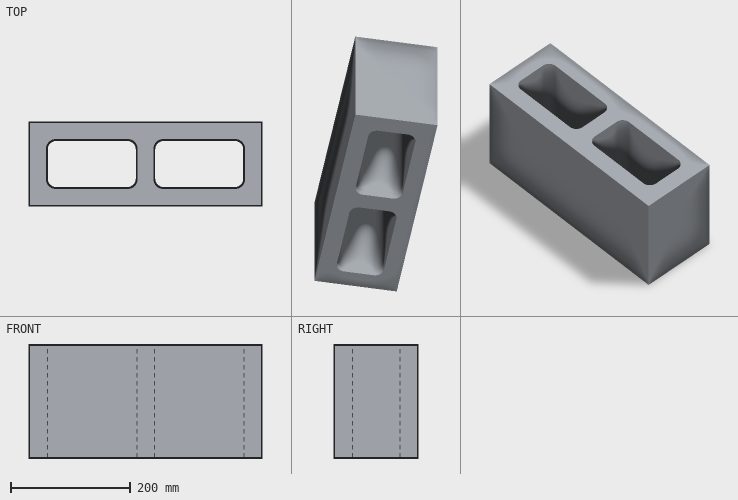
import cadquery as cq

length = 390.0
width = 140.0
height = 190.0
wall = 30.0
core_corner_radius = 15.0
core_count = 2

core_length = (length - (core_count + 1) * wall) / core_count
core_width = width - 2 * wall
core_pitch = core_length + wall


def make_body():
    return cq.Workplane("XY").box(length, width, height)


def make_cores():
    return (
        cq.Workplane("XY")
        .rarray(core_pitch, 4, core_count, 1)
        .rect(core_length, core_width)
        .extrude(height / 2, both=True)
        .edges("|Z")
        .fillet(core_corner_radius)
    )


result = make_body().cut(make_cores())